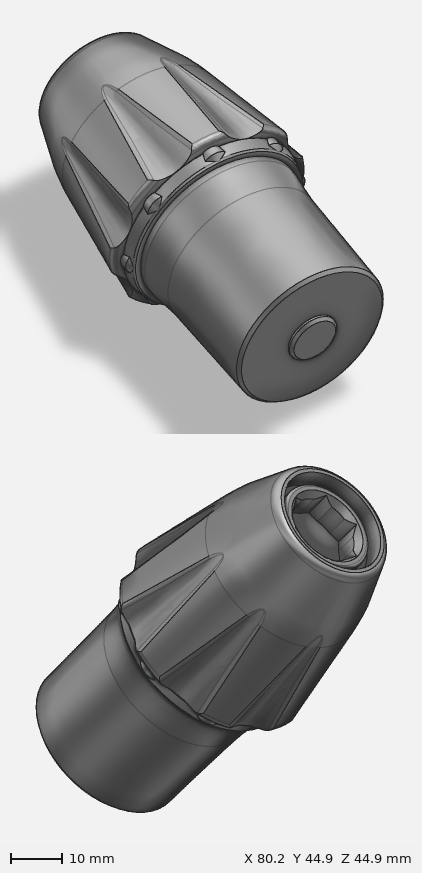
import cadquery as cq
import math


overall_length = 80.2
pin_length = 1.1
collar_start = 42.4
collar_end = 45.5
body_end = overall_length - pin_length

nose_radius = 12.2
nose_shoulder_x = 1.5
nose_round_mid_x = 0.5
nose_round_mid_radius = 13.0
nose_shoulder_radius = 13.6
nose_mid_x = 8.8
nose_mid_radius = 16.35
flare_start_x = 17.25
flare_start_radius = 18.45
flare_mid_x = 28.9
flare_mid_radius = 20.2
grip_radius = 22.7
grip_rim_x = 41.7
grip_foot_radius = 19.9

scallop_count = 8
scallop_pitch = 360.0 / scallop_count
scallop_tip_x = 15.2
scallop_tip_floor = 17.9
scallop_end_x = 42.35
scallop_end_floor = 20.3
scallop_apex_x = 0.8
scallop_half_angle = 11.5
scallop_cone_length = 48.1
land_edge_round = 1.3
edge_search_margin = 0.1

collar_radius = 20.4
collar_edge_radius = 19.8
collar_edge_x = 45.0
collar_chamfer = 0.3
joint_overlap = 0.8
bead_diameter = 6.5
bead_top = 20.85
bead_end_x = 45.2
bead_end_chamfer = 1.2
bead_length = 4.8

neck_radius = 18.3
neck_straight_end = 46.9
neck_mid_x = 50.5
shank_start_x = 54.1
shank_start_radius = 17.5
neck_mid_radius = 17.8
shank_end_radius = 17.1
shank_chamfer = 0.7
pin_radius = 11.0 / 2
pin_chamfer = 0.65

groove_radius = 11.4
groove_depth = 4.8
tube_radius = 19.8 / 2
tube_recess = 1.85
tube_edge_round = 0.65
lead_in_radius = 8.4
lead_in_end_radius = 6.4
lead_in_depth = 2.65
hex_across_flats = 14.2
bore_radius = 7.3
socket_floor = 8.4


def revolve_x(profile):
    """Turn a closed profile of (x, radius) points about the X axis."""
    return profile.close().revolve(360, (0, 0, 0), (1, 0, 0))


def make_scallop_cutter():
    """Cone whose lowest line is the scallop floor; its apex lies in the air ahead of the flare."""
    floor_slope = (scallop_end_floor - scallop_tip_floor) / (scallop_end_x - scallop_tip_x)
    apex_height = scallop_tip_floor - floor_slope * (scallop_tip_x - scallop_apex_x)
    axis_angle = math.atan(floor_slope) + math.radians(scallop_half_angle)
    base_radius = scallop_cone_length * math.tan(math.radians(scallop_half_angle))
    cone = cq.Solid.makeCone(
        0,
        base_radius,
        scallop_cone_length,
        cq.Vector(scallop_apex_x, 0, apex_height),
        cq.Vector(math.cos(axis_angle), 0, math.sin(axis_angle)),
    )
    return cq.Workplane(obj=cone)


def edges_between(body, start_x, end_x):
    """Edges of a body whose centres lie between two places along X."""
    return [edge for edge in body.edges().vals() if start_x < edge.Center().x < end_x]


def make_grip():
    """Nose and flare, fluted by the scallops."""
    grip = revolve_x(
        cq.Workplane("XY")
        .moveTo(0, 0)
        .lineTo(0, nose_radius)
        .threePointArc((nose_round_mid_x, nose_round_mid_radius), (nose_shoulder_x, nose_shoulder_radius))
        .threePointArc((nose_mid_x, nose_mid_radius), (flare_start_x, flare_start_radius))
        .threePointArc((flare_mid_x, flare_mid_radius), (grip_rim_x, grip_radius))
        .lineTo(collar_start, grip_foot_radius)
        .lineTo(collar_start, 0)
    )
    cutter = make_scallop_cutter()
    for index in range(scallop_count):
        angle = (index + 0.5) * scallop_pitch
        grip = grip.cut(cutter.rotate((0, 0, 0), (1, 0, 0), angle))
    tip_edges = edges_between(grip, scallop_tip_x - edge_search_margin, flare_start_x - edge_search_margin)
    land_edges = edges_between(grip, flare_start_x + edge_search_margin, grip_rim_x + edge_search_margin)
    return grip.newObject(tip_edges + land_edges).fillet(land_edge_round)


def make_rear():
    """Collar, shank and pin."""
    return revolve_x(
        cq.Workplane("XY")
        .moveTo(collar_start - joint_overlap, 0)
        .lineTo(collar_start - joint_overlap, grip_foot_radius)
        .lineTo(collar_start, collar_radius)
        .lineTo(collar_edge_x, collar_edge_radius)
        .lineTo(collar_end, collar_edge_radius - collar_chamfer)
        .lineTo(collar_end, neck_radius)
        .lineTo(neck_straight_end, neck_radius)
        .threePointArc((neck_mid_x, neck_mid_radius), (shank_start_x, shank_start_radius))
        .lineTo(body_end - shank_chamfer, shank_end_radius)
        .lineTo(body_end, shank_end_radius - shank_chamfer)
        .lineTo(body_end, pin_radius)
        .lineTo(overall_length - pin_chamfer, pin_radius)
        .lineTo(overall_length, pin_radius - pin_chamfer)
        .lineTo(overall_length, 0)
    )


def make_bead():
    """Rod along X, mostly sunk in the collar, with a bevelled rear end."""
    return (
        cq.Workplane("YZ", origin=(bead_end_x - bead_length, 0, bead_top - bead_diameter / 2))
        .circle(bead_diameter / 2)
        .extrude(bead_length)
        .faces(">X")
        .edges()
        .chamfer(bead_end_chamfer)
    )


def make_socket():
    """Everything removed from the nose, as one body."""
    groove = cq.Workplane("YZ").circle(groove_radius).extrude(groove_depth)
    tube = (
        cq.Workplane("YZ", origin=(tube_recess, 0, 0))
        .circle(tube_radius)
        .extrude(groove_depth - tube_recess)
        .faces("<X")
        .edges()
        .fillet(tube_edge_round)
    )
    lead_in = revolve_x(
        cq.Workplane("XY")
        .moveTo(tube_recess, 0)
        .lineTo(tube_recess, lead_in_radius)
        .lineTo(tube_recess + lead_in_depth, lead_in_end_radius)
        .lineTo(tube_recess + lead_in_depth, 0)
    )
    bore_depth = socket_floor - tube_recess
    across_corners = hex_across_flats / math.cos(math.radians(30))
    tube_mouth = cq.Workplane("YZ", origin=(tube_recess, 0, 0))
    bore = tube_mouth.circle(bore_radius).extrude(bore_depth)
    hexagon = tube_mouth.polygon(6, across_corners).extrude(bore_depth).rotate((0, 0, 0), (1, 0, 0), 90)
    return groove.cut(tube).union(lead_in).union(hexagon).union(bore)


result = make_grip().union(make_rear())
bead = make_bead()
for index in range(scallop_count):
    result = result.union(bead.rotate((0, 0, 0), (1, 0, 0), index * scallop_pitch))
result = result.cut(make_socket())